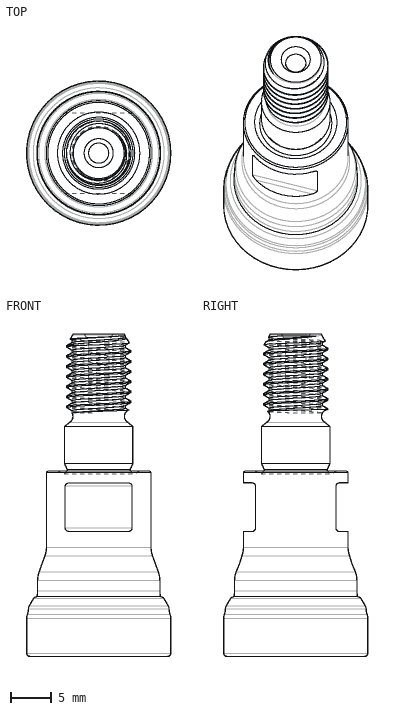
import cadquery as cq
import math

OVERALL_HEIGHT = 39.99

HEAD_RADIUS = 17.9 / 2
HEAD_BOTTOM_FILLET = 0.4
HEAD_WALL_TOP = 4.73
HEAD_BLEND_MIDDLE = 5.2
CAP_RADIUS = 8.74
CAP_WALL_BOTTOM = 5.88
CAP_CONE_ANGLE = math.radians(30)
CAP_LOWER_FILLET = 0.75
CAP_UPPER_FILLET = 0.5
CAP_TOP = 7.41

NECK_RADIUS = 15.2 / 2
NECK_FLARE_TOP = 8.1
NECK_FLARE_RADIUS = 3.0
TAPER_ANGLE = math.radians(20)
TAPER_BLEND_RADIUS = 3.0

BODY_RADIUS = 13.0 / 2
BODY_BOTTOM = 13.5
BODY_TOP = 23.0
BODY_TOP_CHAMFER = 0.2
FLAT_BOTTOM = 15.5
FLAT_HEIGHT = 6.0
FLAT_DISTANCE = 10.0
FLAT_CORNER_FILLET = 0.4

RECESS_RADIUS = 10.2 / 2
RECESS_ANGLE = math.radians(30)
UNDERCUT_FILLET = 0.55
UNDERCUT_RADIUS = 3.92

PILOT_RADIUS = 8.5 / 2
PILOT_BOTTOM = 23.9
PILOT_TOP = 28.5
PILOT_CHAMFER_TOP = 29.0

THREAD_RADIUS = 8.0 / 2
THREAD_PITCH = 1.25
THREAD_CREST_WIDTH = THREAD_PITCH / 8
THREAD_FLANK_ANGLE = math.radians(30)
THREAD_EMBED = 0.1
THREAD_TIP_RADIUS = 3.15
THREAD_TIP_ANGLE = math.radians(30)
THREAD_PHASE_HEIGHT = 29.05
GROOVE_RADIUS = 3.2
GROOVE_HEIGHT = 29.75
GROOVE_FILLET = 0.85

HOLE_RADIUS = 2.5 / 2
HOLE_DEPTH = 6.0
HOLE_TIP_ANGLE = math.radians(118)
COUNTERSINK_RADIUS = 3.6 / 2
COUNTERSINK_ANGLE = math.radians(60)

V_HEIGHT = THREAD_PITCH / 2 / math.tan(THREAD_FLANK_ANGLE)
THREAD_ROOT_RADIUS = THREAD_RADIUS - 5 / 8 * V_HEIGHT
GROOVE_CENTER = (GROOVE_RADIUS + GROOVE_FILLET, GROOVE_HEIGHT)
THREAD_TURNS_LENGTH = OVERALL_HEIGHT - THREAD_PHASE_HEIGHT + THREAD_PITCH


def on_arc(center, radius, angle):
    """Point (radius from the axis, height) on a circle in the profile plane."""
    return (center[0] + radius * math.cos(angle), center[1] + radius * math.sin(angle))


def arc_to(profile, center, radius, start_angle, end_angle):
    """Extend the profile by an arc, given by its angles above the radial direction."""
    middle = on_arc(center, radius, (start_angle + end_angle) / 2)
    return profile.threePointArc(middle, on_arc(center, radius, end_angle))


def turn(profile):
    """Close the profile along the Z axis and revolve it."""
    return profile.close().revolve(360, (0, 0, 0), (0, 1, 0))


def groove_angle_at(radius):
    """Angle at which the upper half of the groove arc reaches a given radius from the axis."""
    return math.pi - math.acos((GROOVE_CENTER[0] - radius) / GROOVE_FILLET)


def tip_chamfer_height(radius):
    """Height at which the chamfer of the threaded end has a given radius."""
    return OVERALL_HEIGHT - (radius - THREAD_TIP_RADIUS) / math.tan(THREAD_TIP_ANGLE)


def head_profile(profile):
    """Head wall, the double curve up to the cap, and the cap with its cone."""
    profile = profile.lineTo(HEAD_RADIUS - HEAD_BOTTOM_FILLET, 0)
    fillet_center = (HEAD_RADIUS - HEAD_BOTTOM_FILLET, HEAD_BOTTOM_FILLET)
    profile = arc_to(profile, fillet_center, HEAD_BOTTOM_FILLET, -math.pi / 2, 0)

    profile = profile.lineTo(HEAD_RADIUS, HEAD_WALL_TOP)
    blend_height = CAP_WALL_BOTTOM - HEAD_WALL_TOP
    blend_angle = 2 * math.atan((HEAD_RADIUS - CAP_RADIUS) / blend_height)
    convex_radius = (HEAD_BLEND_MIDDLE - HEAD_WALL_TOP) / math.sin(blend_angle)
    concave_radius = (CAP_WALL_BOTTOM - HEAD_BLEND_MIDDLE) / math.sin(blend_angle)
    convex_center = (HEAD_RADIUS - convex_radius, HEAD_WALL_TOP)
    concave_center = (CAP_RADIUS + concave_radius, CAP_WALL_BOTTOM)
    profile = arc_to(profile, convex_center, convex_radius, 0, blend_angle)
    profile = arc_to(profile, concave_center, concave_radius, math.pi + blend_angle, math.pi)

    lower_center = (CAP_RADIUS - CAP_LOWER_FILLET, CAP_WALL_BOTTOM)
    profile = arc_to(profile, lower_center, CAP_LOWER_FILLET, 0, CAP_CONE_ANGLE)
    cone_bottom = on_arc(lower_center, CAP_LOWER_FILLET, CAP_CONE_ANGLE)
    cone_top_height = CAP_TOP - CAP_UPPER_FILLET * (1 - math.sin(CAP_CONE_ANGLE))
    cone_top_radius = cone_bottom[0] - (cone_top_height - cone_bottom[1]) * math.tan(CAP_CONE_ANGLE)
    profile = profile.lineTo(cone_top_radius, cone_top_height)
    upper_center = (
        cone_top_radius - CAP_UPPER_FILLET * math.cos(CAP_CONE_ANGLE),
        CAP_TOP - CAP_UPPER_FILLET,
    )
    return arc_to(profile, upper_center, CAP_UPPER_FILLET, CAP_CONE_ANGLE, math.pi / 2)


def neck_profile(profile):
    """Flare at the foot of the neck, the neck wall and the taper up to the body."""
    flare_center = (NECK_RADIUS + NECK_FLARE_RADIUS, NECK_FLARE_TOP)
    flare_angle = math.asin((NECK_FLARE_TOP - CAP_TOP) / NECK_FLARE_RADIUS)
    profile = profile.lineTo(*on_arc(flare_center, NECK_FLARE_RADIUS, math.pi + flare_angle))
    profile = arc_to(profile, flare_center, NECK_FLARE_RADIUS, math.pi + flare_angle, math.pi)

    blend_step = TAPER_BLEND_RADIUS * (1 - math.cos(TAPER_ANGLE))
    blend_height = TAPER_BLEND_RADIUS * math.sin(TAPER_ANGLE)
    cone_height = (NECK_RADIUS - BODY_RADIUS - 2 * blend_step) / math.tan(TAPER_ANGLE)
    neck_wall_top = BODY_BOTTOM - cone_height - 2 * blend_height
    lower_center = (NECK_RADIUS - TAPER_BLEND_RADIUS, neck_wall_top)
    upper_center = (BODY_RADIUS + TAPER_BLEND_RADIUS, BODY_BOTTOM)
    profile = profile.lineTo(NECK_RADIUS, neck_wall_top)
    profile = arc_to(profile, lower_center, TAPER_BLEND_RADIUS, 0, TAPER_ANGLE)
    profile = profile.lineTo(*on_arc(upper_center, TAPER_BLEND_RADIUS, math.pi + TAPER_ANGLE))
    return arc_to(profile, upper_center, TAPER_BLEND_RADIUS, math.pi + TAPER_ANGLE, math.pi)


def body_profile(profile):
    """Body wall, its chamfered top and the conical recess down to the undercut."""
    recess_floor_radius = UNDERCUT_RADIUS + UNDERCUT_FILLET
    recess_floor = BODY_TOP - (RECESS_RADIUS - recess_floor_radius) * math.tan(RECESS_ANGLE)
    fillet_center = (recess_floor_radius, recess_floor + UNDERCUT_FILLET)
    profile = (
        profile.lineTo(BODY_RADIUS, BODY_TOP - BODY_TOP_CHAMFER)
        .lineTo(BODY_RADIUS - BODY_TOP_CHAMFER, BODY_TOP)
        .lineTo(RECESS_RADIUS, BODY_TOP)
        .lineTo(recess_floor_radius, recess_floor)
    )
    return arc_to(profile, fillet_center, UNDERCUT_FILLET, 3 * math.pi / 2, math.pi)


def pilot_profile(profile):
    """Pilot with its tapered foot and chamfered top, ending in the run-out groove."""
    lower_angle = math.pi + math.asin((GROOVE_HEIGHT - PILOT_CHAMFER_TOP) / GROOVE_FILLET)
    profile = (
        profile.lineTo(PILOT_RADIUS, PILOT_BOTTOM)
        .lineTo(PILOT_RADIUS, PILOT_TOP)
        .lineTo(*on_arc(GROOVE_CENTER, GROOVE_FILLET, lower_angle))
    )
    return arc_to(profile, GROOVE_CENTER, GROOVE_FILLET, lower_angle, groove_angle_at(THREAD_ROOT_RADIUS))


def make_turned_part():
    """Everything turned about Z, with the threaded end reduced to its root cylinder."""
    profile = cq.Workplane("XZ").moveTo(0, 0)
    for extend in (head_profile, neck_profile, body_profile, pilot_profile):
        profile = extend(profile)
    profile = (
        profile.lineTo(THREAD_ROOT_RADIUS, tip_chamfer_height(THREAD_ROOT_RADIUS))
        .lineTo(THREAD_TIP_RADIUS, OVERALL_HEIGHT)
        .lineTo(0, OVERALL_HEIGHT)
    )
    return turn(profile)


def make_thread():
    """Right-hand thread ridge, trimmed by the groove below and the tip chamfer above."""
    crest_half = THREAD_CREST_WIDTH / 2
    base_radius = THREAD_ROOT_RADIUS - THREAD_EMBED
    base_half = crest_half + (THREAD_RADIUS - base_radius) * math.tan(THREAD_FLANK_ANGLE)
    path = cq.Wire.makeHelix(THREAD_PITCH, THREAD_TURNS_LENGTH, base_radius)
    ridge = (
        cq.Workplane("XZ")
        .polyline(
            [
                (base_radius, -base_half),
                (THREAD_RADIUS, -crest_half),
                (THREAD_RADIUS, crest_half),
                (base_radius, base_half),
            ]
        )
        .close()
        .sweep(cq.Workplane(path), isFrenet=True)
        .translate((0, 0, THREAD_PHASE_HEIGHT))
    )
    envelope = (
        cq.Workplane("XZ")
        .moveTo(0, GROOVE_HEIGHT)
        .lineTo(GROOVE_RADIUS, GROOVE_HEIGHT)
    )
    envelope = arc_to(envelope, GROOVE_CENTER, GROOVE_FILLET, math.pi, groove_angle_at(THREAD_RADIUS))
    envelope = (
        envelope.lineTo(THREAD_RADIUS, tip_chamfer_height(THREAD_RADIUS))
        .lineTo(THREAD_TIP_RADIUS, OVERALL_HEIGHT)
        .lineTo(0, OVERALL_HEIGHT)
    )
    return ridge.intersect(turn(envelope))


def make_flat_cutter(side):
    """Block outside one wrench flat (side is +1 or -1 along Y), rounded at the flat's ends."""
    depth = BODY_RADIUS
    return (
        cq.Workplane("XY")
        .box(2 * BODY_RADIUS, depth, FLAT_HEIGHT, centered=(True, True, False))
        .edges("|X")
        .edges("<Y" if side > 0 else ">Y")
        .fillet(FLAT_CORNER_FILLET)
        .translate((0, side * (FLAT_DISTANCE + depth) / 2, FLAT_BOTTOM))
    )


def make_center_hole():
    """Blind drilled hole with a conical tip and a countersink."""
    countersink_depth = (COUNTERSINK_RADIUS - HOLE_RADIUS) / math.tan(COUNTERSINK_ANGLE / 2)
    tip_depth = HOLE_RADIUS / math.tan(HOLE_TIP_ANGLE / 2)
    wall_bottom = OVERALL_HEIGHT - HOLE_DEPTH
    profile = (
        cq.Workplane("XZ")
        .moveTo(0, OVERALL_HEIGHT)
        .lineTo(COUNTERSINK_RADIUS, OVERALL_HEIGHT)
        .lineTo(HOLE_RADIUS, OVERALL_HEIGHT - countersink_depth)
        .lineTo(HOLE_RADIUS, wall_bottom)
        .lineTo(0, wall_bottom - tip_depth)
    )
    return turn(profile)


result = make_turned_part().union(make_thread(), clean=True)
for flat_side in (1, -1):
    result = result.cut(make_flat_cutter(flat_side))
result = result.cut(make_center_hole())